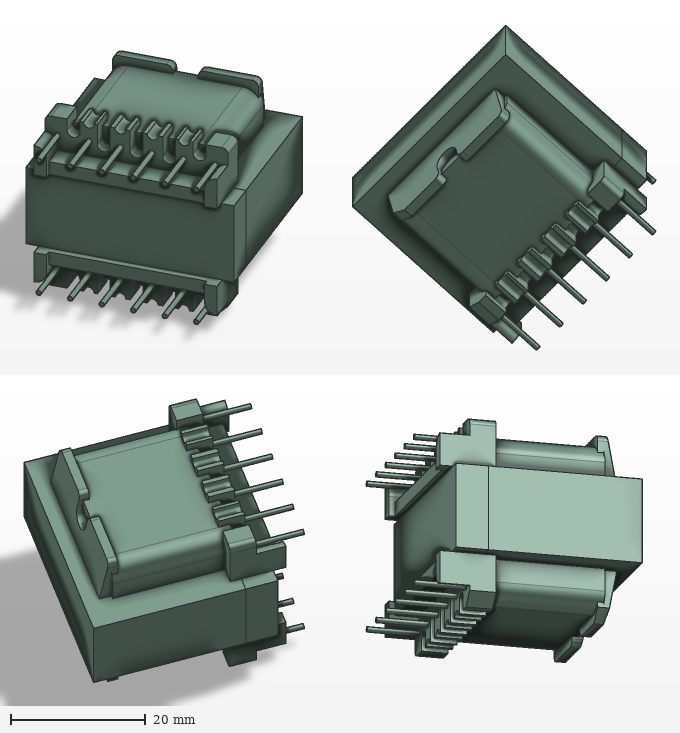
import cadquery as cq
import math


CORE_WIDTH = 33.0
CORE_HEIGHT = 13.0
LEG = 4.47
CENTRE_LEG = 2 * LEG
I_CORE_DEPTH = 5.0
CORE_BACK_Y = 23.77
OVERALL_LENGTH = 34.1

WINDOW_DEPTH = CORE_BACK_Y - LEG
WINDING_WIDTH = CORE_WIDTH - 2 * LEG
WINDING_HEIGHT = 25.95
WINDING_RADIUS = 3.0

BOBBIN_HEIGHT = 28.8
BOBBIN_TOP_Z = BOBBIN_HEIGHT / 2
BOBBIN_BASE_Z = 6.6
CORE_CLEARANCE = BOBBIN_BASE_Z - CORE_HEIGHT / 2
TUBE_WALL = 1.0
CORNER_RADIUS = 1.02
KEY_CHAMFER = 2.0

FLANGE_WIDTH = 23.12
FLANGE_BASE_Y = 21.25
FLANGE_TOP_Y = 19.78
LIP_DEPTH = 1.0
FLANGE_GAP_WIDTH = 4.02
FLANGE_GAP_FLOOR_Z = 10.0

BLOCK_WIDTH = 29.05
BLOCK_FRONT_Y = -2.32
BLOCK_OVERHANG = 1.77
LEDGE_FRONT_Y = -5.97
LEDGE_TOP_Z = 8.75
EAR_FRONT_Y = -6.92
EAR_WIDTH = 2.0
EAR_TOP_Z = 11.63

SLOT_WIDTH = 2.0
DEEP_SLOT_XS = (-5.2, 0, 5.2)
DEEP_SLOT_FLOOR_Z = FLANGE_GAP_FLOOR_Z
SHALLOW_SLOT_XS = (-10.0, 10.0)
SHALLOW_SLOT_FLOOR_Z = 11.5
NOTCH_RADIUS = 0.85
NOTCH_XS = (-7.55, -2.55, 2.55, 7.55)
PIN_COUNT = 6
PIN_SPAN = 25.0
PIN_RADIUS = 0.4
PIN_Z = 11.3
PIN_TIP_Y = CORE_BACK_Y - OVERALL_LENGTH


def block(width, y_min, y_max, z_min, z_max, x_centre=0):
    """Box centred on x_centre between the given Y and Z limits."""
    return cq.Workplane("XY").box(width, y_max - y_min, z_max - z_min).translate(
        (x_centre, (y_min + y_max) / 2, (z_min + z_max) / 2)
    )


def rod(radius, x, z, y_min, y_max):
    """Cylinder along Y."""
    return cq.Workplane("XZ", origin=(x, y_max, z)).circle(radius).extrude(y_max - y_min)


def round_slot(width, x, floor_z, y_min, y_max):
    """Cutter along Y, open at the bobbin's outer edge, with a half-round floor."""
    radius = width / 2
    floor = rod(radius, x, floor_z + radius, y_min, y_max)
    return floor.union(block(width, y_min, y_max, floor_z + radius, BOBBIN_TOP_Z + radius, x))


def make_e_core():
    half_height = CORE_HEIGHT / 2
    core = block(CORE_WIDTH, 0, CORE_BACK_Y, -half_height, half_height)
    window = block(WINDING_WIDTH, 0, WINDOW_DEPTH, -half_height, half_height)
    centre_leg = block(CENTRE_LEG, 0, WINDOW_DEPTH, -half_height, half_height)
    return core.cut(window.cut(centre_leg))


def make_i_core():
    return block(CORE_WIDTH, -I_CORE_DEPTH, 0, -CORE_HEIGHT / 2, CORE_HEIGHT / 2)


def winding_envelope():
    """Winding outline with its rounded corners, without the hole for the bobbin tube."""
    half_height = WINDING_HEIGHT / 2
    envelope = block(WINDING_WIDTH, 0, WINDOW_DEPTH, -half_height, half_height)
    return envelope.edges("|Y").fillet(WINDING_RADIUS)


def tube_section(margin):
    """Block along the window depth, larger than the centre leg by margin on each side."""
    half_height = CORE_HEIGHT / 2 + margin
    return block(CENTRE_LEG + 2 * margin, 0, WINDOW_DEPTH, -half_height, half_height)


def tube_outside():
    return tube_section(CORE_CLEARANCE + TUBE_WALL)


def make_winding():
    return winding_envelope().cut(tube_outside())


def upper_flange():
    """Upper half of the rear flange: two tabs with a half-round gap between them."""
    lip_y = WINDOW_DEPTH - LIP_DEPTH
    profile = [
        (lip_y, BOBBIN_BASE_Z),
        (FLANGE_BASE_Y, BOBBIN_BASE_Z),
        (FLANGE_TOP_Y, BOBBIN_TOP_Z),
        (lip_y, BOBBIN_TOP_Z),
    ]
    flange = cq.Workplane("YZ").polyline(profile).close().extrude(FLANGE_WIDTH / 2, both=True)
    flange = flange.cut(round_slot(FLANGE_GAP_WIDTH, 0, FLANGE_GAP_FLOOR_Z, lip_y, FLANGE_BASE_Y))
    corner_edges = []
    for edge in flange.faces(">Z").edges().vals():
        if edge.BoundingBox().xlen < edge.BoundingBox().ylen:
            corner_edges.append(edge)
    return flange.newObject([flange.val().fillet(CORNER_RADIUS, corner_edges)])


def upper_ear(side):
    """Stand-off beside the pins, rounded on its inner top edge; side is -1 or 1."""
    ear_x = side * (BLOCK_WIDTH - EAR_WIDTH) / 2
    ear = block(EAR_WIDTH, EAR_FRONT_Y, BLOCK_FRONT_Y, BOBBIN_BASE_Z, EAR_TOP_Z, ear_x)
    inner_x = side * (BLOCK_WIDTH / 2 - EAR_WIDTH)
    outer_x = side * BLOCK_WIDTH / 2
    arc_z = EAR_TOP_Z - EAR_WIDTH
    arc_middle = EAR_WIDTH * math.sqrt(0.5)
    corner = (
        cq.Workplane("XZ", origin=(0, BLOCK_FRONT_Y, 0))
        .moveTo(inner_x, arc_z)
        .threePointArc((outer_x - side * arc_middle, arc_z + arc_middle), (outer_x, EAR_TOP_Z))
        .lineTo(inner_x, EAR_TOP_Z)
        .close()
        .extrude(BLOCK_FRONT_Y - EAR_FRONT_Y)
    )
    return ear.cut(corner)


def upper_terminal_block():
    """Upper terminal block with its ledge, ears, wire slots, wire notches and pins."""
    terminal = block(BLOCK_WIDTH, BLOCK_FRONT_Y, BLOCK_OVERHANG, BOBBIN_BASE_Z, BOBBIN_TOP_Z)
    terminal = terminal.edges("|Y and >Z").fillet(CORNER_RADIUS)
    for slot_xs, floor_z in ((DEEP_SLOT_XS, DEEP_SLOT_FLOOR_Z), (SHALLOW_SLOT_XS, SHALLOW_SLOT_FLOOR_Z)):
        for x in slot_xs:
            terminal = terminal.cut(round_slot(SLOT_WIDTH, x, floor_z, BLOCK_FRONT_Y, BLOCK_OVERHANG))
    for x in NOTCH_XS:
        terminal = terminal.cut(rod(NOTCH_RADIUS, x, BOBBIN_TOP_Z, BLOCK_FRONT_Y, BLOCK_OVERHANG))

    ledge = block(BLOCK_WIDTH - 2 * EAR_WIDTH, LEDGE_FRONT_Y, BLOCK_FRONT_Y, BOBBIN_BASE_Z, LEDGE_TOP_Z)
    terminal = terminal.union(ledge)
    for side in (-1, 1):
        terminal = terminal.union(upper_ear(side))
    for index in range(PIN_COUNT):
        pin_x = (index / (PIN_COUNT - 1) - 0.5) * PIN_SPAN
        terminal = terminal.union(rod(PIN_RADIUS, pin_x, PIN_Z, PIN_TIP_Y, BLOCK_FRONT_Y))
    return terminal


def key_cutter(width, y_min, y_max):
    """Wedge that chamfers the bottom +X corner of a bobbin end of the given width."""
    corner_x = width / 2
    return (
        cq.Workplane("XZ", origin=(0, y_max, 0))
        .polyline([
            (corner_x, -BOBBIN_TOP_Z),
            (corner_x, KEY_CHAMFER - BOBBIN_TOP_Z),
            (corner_x - KEY_CHAMFER, -BOBBIN_TOP_Z),
        ])
        .close()
        .extrude(y_max - y_min)
    )


def make_bobbin():
    upper_ends = upper_flange().union(upper_terminal_block()).cut(winding_envelope())
    lower_ends = upper_ends.mirror("XY")
    lower_ends = lower_ends.cut(key_cutter(BLOCK_WIDTH, BLOCK_FRONT_Y, BLOCK_OVERHANG))
    lower_ends = lower_ends.cut(key_cutter(FLANGE_WIDTH, WINDOW_DEPTH - LIP_DEPTH, FLANGE_BASE_Y))
    tube = tube_outside().cut(tube_section(CORE_CLEARANCE))
    return tube.union(upper_ends).union(lower_ends)


e_core = make_e_core().solids().val()
i_core = make_i_core().solids().val()
winding = make_winding().solids().val()
bobbin = make_bobbin().solids().val()

result = cq.Compound.makeCompound([e_core, i_core, winding, bobbin])